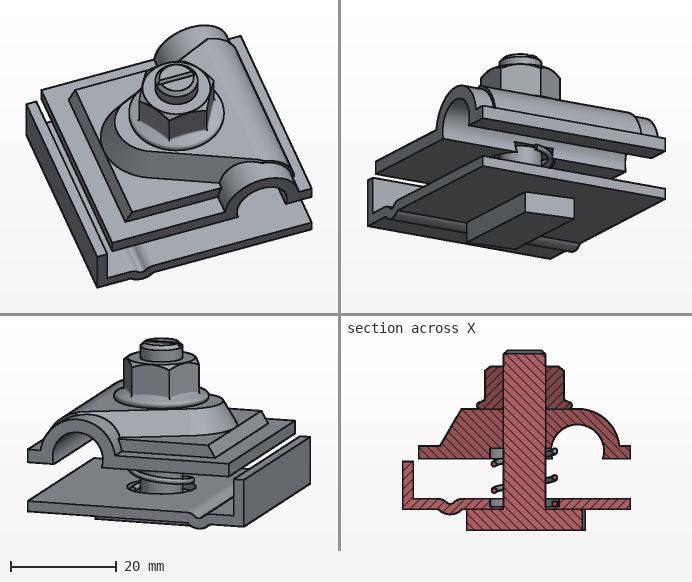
import cadquery as cq
import math


width = 40.0
back_y = 20.0
shank_radius = 4.0
head_height = 4.0

sheet = 2.0
base_front_y = -23.0
base_top = head_height + sheet
lip_top = 13.07
bead_y = -14.0
bead_inner_radius = 1.0
bead_outer_radius = bead_inner_radius + sheet
bead_shoulder_radius = 2.5

clamp_bottom = 13.5
clamp_plate = 2.5
clamp_plate_top = clamp_bottom + clamp_plate
clamp_front_y = -back_y
step_height = 2.35
seat_z = 22.95
channel_y = 10.0
channel_z = 15.0
channel_radius = 5.0
saddle_radius = 7.5
boss_saddle_radius = 8.0
boss_half_width = 16.0
boss_draft = 30.0
boss_nose_y = -4.6
boss_nose_radius = 11.35
boss_side_angle = 25.2

nut_top = 31.0
nut_flats = 13.0
nut_top_radius = 6.4
nut_chamfer_drop = 0.85
nut_root_fillet = 0.35
flange_radius = 9.0
flange_edge_radius = 0.65
flange_slope = 20.0

bolt_top = 34.0
bolt_chamfer = 0.77
head_width = 10.0
head_length = 23.0
head_skew = 1.15
slot_width = 1.0
slot_depth = 0.55

wire_radius = 0.5
coil_radius = 5.7
coil_pitch = 5.0
coil_height = 2 * coil_pitch
coil_end_z = channel_z
coil_start_z = coil_end_z - coil_height
spring_bottom = coil_start_z - wire_radius
spring_top = coil_end_z + wire_radius
pocket_clearance = 0.25
spring_pocket_radius = coil_radius + wire_radius + pocket_clearance


def side_sketch(half_width):
    """YZ workplane from which a profile is extruded toward +X, starting at -half_width."""
    return cq.Workplane("YZ").workplane(offset=-half_width)


def side_block(half_width, front_y, rear_y, bottom, top):
    """Box centred on X = 0 between the given Y and Z limits."""
    return (
        side_sketch(half_width)
        .moveTo(front_y, bottom)
        .lineTo(rear_y, bottom)
        .lineTo(rear_y, top)
        .lineTo(front_y, top)
        .close()
        .extrude(2 * half_width)
    )


def rod_along_x(radius, half_width):
    """Cylinder on the channel axis, centred on X = 0."""
    return side_sketch(half_width).center(channel_y, channel_z).circle(radius).extrude(2 * half_width)


def axial_cylinder(radius, bottom, top):
    """Cylinder on the bolt axis between two heights."""
    return cq.Workplane("XY").workplane(offset=bottom).circle(radius).extrude(top - bottom)


def make_base():
    """Flat sheet with a rounded bead and an upturned front lip."""
    bottom = head_height
    shoulder_reach = math.sqrt(
        (bead_inner_radius + bead_shoulder_radius) ** 2 - bead_shoulder_radius ** 2
    )
    lip_inner_y = base_front_y + sheet

    plate = (
        side_sketch(width / 2)
        .moveTo(back_y, bottom)
        .lineTo(back_y, base_top)
        .lineTo(lip_inner_y, base_top)
        .lineTo(lip_inner_y, lip_top)
        .lineTo(base_front_y, lip_top)
        .lineTo(base_front_y, bottom)
        .close()
        .extrude(width)
    )

    bead = (
        side_sketch(width / 2)
        .center(bead_y, base_top)
        .moveTo(-bead_outer_radius, 0)
        .threePointArc((0, -bead_outer_radius), (bead_outer_radius, 0))
        .close()
        .extrude(width)
    )

    lean = math.atan2(bead_shoulder_radius, shoulder_reach)
    tangent_y = bead_inner_radius * math.cos(lean)
    tangent_z = -bead_inner_radius * math.sin(lean)
    middle_angle = (math.pi / 2 + math.pi - lean) / 2
    middle_y = shoulder_reach + bead_shoulder_radius * math.cos(middle_angle)
    middle_z = bead_shoulder_radius * (math.sin(middle_angle) - 1)
    groove = (
        side_sketch(width / 2)
        .center(bead_y, base_top)
        .moveTo(-shoulder_reach, 0)
        .threePointArc((-middle_y, middle_z), (-tangent_y, tangent_z))
        .threePointArc((0, -bead_inner_radius), (tangent_y, tangent_z))
        .threePointArc((middle_y, middle_z), (shoulder_reach, 0))
        .close()
        .extrude(width)
    )

    spring_pocket = axial_cylinder(spring_pocket_radius, spring_bottom, base_top)
    bolt_hole = axial_cylinder(shank_radius, bottom, base_top)
    return plate.union(bead).cut(groove).cut(spring_pocket).cut(bolt_hole)


def make_boss():
    """Drafted V-shaped boss that runs from the rounded nose back over the channel."""
    angle = math.radians(boss_side_angle)
    tangent_x = boss_nose_radius * math.cos(angle)
    tangent_y = boss_nose_y - boss_nose_radius * math.sin(angle)
    rear_y = 2 * back_y
    rear_x = tangent_x + (rear_y - tangent_y) * math.tan(angle)
    wedge = (
        cq.Workplane("XY")
        .workplane(offset=clamp_plate_top)
        .moveTo(-rear_x, rear_y)
        .lineTo(-tangent_x, tangent_y)
        .threePointArc((0, boss_nose_y - boss_nose_radius), (tangent_x, tangent_y))
        .lineTo(rear_x, rear_y)
        .close()
        .extrude(seat_z - clamp_plate_top, taper=boss_draft)
    )
    ahead_of_saddle = side_block(boss_half_width, clamp_front_y, channel_y, clamp_bottom, seat_z)
    envelope = ahead_of_saddle.union(rod_along_x(boss_saddle_radius, boss_half_width))
    return wedge.intersect(envelope)


def make_step():
    """Raised rectangular pad whose front face has the same draft as the boss."""
    front_y = boss_nose_y - boss_nose_radius
    step_top = clamp_plate_top + step_height
    return (
        side_sketch(boss_half_width)
        .moveTo(channel_y, clamp_plate_top)
        .lineTo(front_y, clamp_plate_top)
        .lineTo(front_y + step_height * math.tan(math.radians(boss_draft)), step_top)
        .lineTo(channel_y, step_top)
        .close()
        .extrude(2 * boss_half_width)
    )


def make_clamp():
    """Upper jaw: flat plate, round saddle, step and boss, with the conductor channel below."""
    plate = side_block(width / 2, clamp_front_y, back_y, clamp_bottom, clamp_plate_top)
    above_bottom = side_block(width / 2, clamp_front_y, back_y, clamp_bottom, seat_z)
    saddle = rod_along_x(saddle_radius, width / 2).intersect(above_bottom)
    body = plate.union(saddle).union(make_step()).union(make_boss())

    spring_pocket = axial_cylinder(spring_pocket_radius, clamp_bottom, spring_top)
    bolt_hole = axial_cylinder(shank_radius, clamp_bottom, seat_z)
    return body.cut(rod_along_x(channel_radius, width / 2)).cut(spring_pocket).cut(bolt_hole)


def make_nut():
    """Hexagon nut with a conical, round-edged flange; two corners lie on the Y axis."""
    slope = math.radians(flange_slope)
    edge_centre_r = flange_radius - flange_edge_radius
    edge_centre_z = seat_z + flange_edge_radius
    cone_r = edge_centre_r + flange_edge_radius * math.sin(slope)
    cone_z = edge_centre_z + flange_edge_radius * math.cos(slope)
    flange = (
        cq.Workplane("XZ")
        .moveTo(0, seat_z)
        .lineTo(edge_centre_r, seat_z)
        .threePointArc((flange_radius, edge_centre_z), (cone_r, cone_z))
        .lineTo(0, cone_z + cone_r * math.tan(slope))
        .close()
        .revolve(360, (0, 0, 0), (0, 1, 0))
    )

    corner_radius = nut_flats / 2 / math.cos(math.pi / 6)
    hexagon = (
        cq.Workplane("XY")
        .workplane(offset=seat_z)
        .transformed(rotate=(0, 0, 90))
        .polygon(6, 2 * corner_radius)
        .extrude(nut_top - seat_z)
    )
    chamfer_limit = (
        cq.Workplane("XZ")
        .moveTo(0, seat_z)
        .lineTo(corner_radius, seat_z)
        .lineTo(corner_radius, nut_top - nut_chamfer_drop)
        .lineTo(nut_top_radius, nut_top)
        .lineTo(0, nut_top)
        .close()
        .revolve(360, (0, 0, 0), (0, 1, 0))
    )
    body = flange.union(hexagon.intersect(chamfer_limit))
    root_band = cq.selectors.BoxSelector(
        (-corner_radius, -corner_radius, cone_z),
        (corner_radius, corner_radius, cone_z + corner_radius * math.tan(slope)),
    )
    body = body.edges(root_band).fillet(nut_root_fillet)
    return body.cut(axial_cylinder(shank_radius, seat_z, nut_top))


def make_bolt():
    """Round shank on a skewed hammer head, with a V-shaped marking slot across the tip."""
    half_x = head_width / 2
    half_y = head_length / 2
    head = (
        cq.Workplane("XY")
        .polyline([
            (-half_x, half_y),
            (-half_x, -half_y + head_skew),
            (half_x, -half_y),
            (half_x, half_y - head_skew),
        ])
        .close()
        .extrude(head_height)
    )
    shank = axial_cylinder(shank_radius, head_height, bolt_top).faces(">Z").chamfer(bolt_chamfer)
    slot = (
        cq.Workplane("XZ")
        .polyline([(-slot_width / 2, bolt_top), (0, bolt_top - slot_depth), (slot_width / 2, bolt_top)])
        .close()
        .extrude(shank_radius, both=True)
    )
    return head.union(shank).cut(slot)


def make_spring():
    """Left-hand coil spring of round wire; both wire ends lie on the +Y side."""
    path = cq.Wire.makeHelix(coil_pitch, coil_height, coil_radius, lefthand=True)
    return (
        cq.Workplane("XZ")
        .center(coil_radius, 0)
        .circle(wire_radius)
        .sweep(cq.Workplane(obj=path), isFrenet=True)
        .rotate((0, 0, 0), (0, 0, 1), 90)
        .translate((0, 0, coil_start_z))
    )


base = make_base()
clamp = make_clamp()
nut = make_nut()
bolt = make_bolt()
spring = make_spring()

bodies = [base, clamp, nut, bolt, spring]
result = cq.Compound.makeCompound([body.solids().val() for body in bodies])